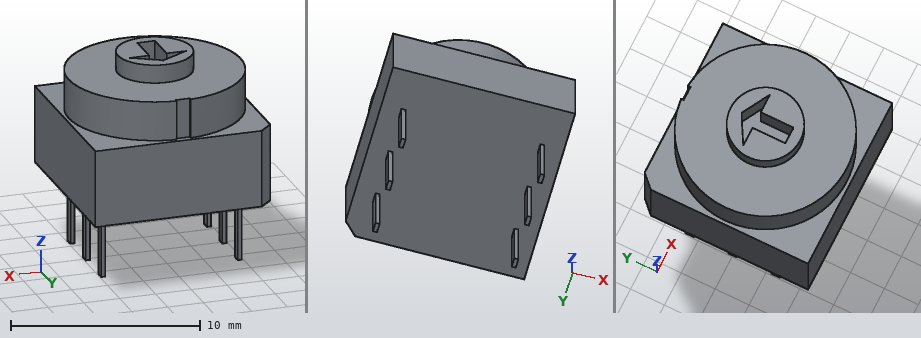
import cadquery as cq


body_side = 10.0
corner_chamfer = 0.72
overall_height = 11.3

base_height = 1.25
body_height = 3.05
dial_height = 2.19
knob_height = 1.02
pin_length = overall_height - base_height - body_height - dial_height - knob_height

dial_diameter = 9.59
notch_width = 0.8
notch_floor_y = 4.62
knob_diameter = 4.1

arrow_half_length = 1.41
arrow_head_base_y = 0.52
arrow_head_width = 3.14
arrow_shaft_width = 0.97
arrow_depth = 1.5

pin_thickness = 0.23
pin_width = 0.51
pin_row_spacing = 7.62
pin_pitch = 2.54
pins_per_row = 3

housing_bottom = pin_length
housing_top = housing_bottom + base_height + body_height
dial_top = housing_top + dial_height
knob_top = dial_top + knob_height


def make_housing():
    """Base plate and body, flush on all sides, with the (-X, +Y) corner cut off."""
    return (
        cq.Workplane("XY", origin=(0, 0, housing_bottom))
        .rect(body_side, body_side)
        .extrude(base_height + body_height)
        .edges("|Z and <X and >Y")
        .chamfer(corner_chamfer)
    )


def make_dial():
    """Round dial with a small full-height index notch in its rim on the +Y side."""
    dial = cq.Workplane("XY", origin=(0, 0, housing_top)).circle(dial_diameter / 2).extrude(dial_height)
    notch_length = dial_diameter / 2 - notch_floor_y
    notch = (
        cq.Workplane("XY", origin=(0, notch_floor_y + notch_length / 2, dial_top))
        .rect(notch_width, notch_length)
        .extrude(-dial_height)
    )
    return dial.cut(notch)


def make_knob():
    """Raised cylinder in the middle of the dial."""
    return cq.Workplane("XY", origin=(0, 0, dial_top)).circle(knob_diameter / 2).extrude(knob_height)


def make_arrow_slot():
    """Arrow pointing along +Y, sunk from the top of the knob."""
    head_x = arrow_head_width / 2
    shaft_x = arrow_shaft_width / 2
    return (
        cq.Workplane("XY", origin=(0, 0, knob_top))
        .moveTo(0, arrow_half_length)
        .lineTo(head_x, arrow_head_base_y)
        .lineTo(shaft_x, arrow_head_base_y)
        .lineTo(shaft_x, -arrow_half_length)
        .lineTo(-shaft_x, -arrow_half_length)
        .lineTo(-shaft_x, arrow_head_base_y)
        .lineTo(-head_x, arrow_head_base_y)
        .close()
        .extrude(-arrow_depth)
    )


def make_pins():
    """Two rows of flat pins reaching down from the underside of the base plate."""
    return (
        cq.Workplane("XY")
        .rarray(pin_row_spacing, pin_pitch, 2, pins_per_row)
        .rect(pin_thickness, pin_width)
        .extrude(pin_length)
    )


result = (
    make_housing()
    .union(make_dial())
    .union(make_knob())
    .union(make_pins())
    .cut(make_arrow_slot())
)